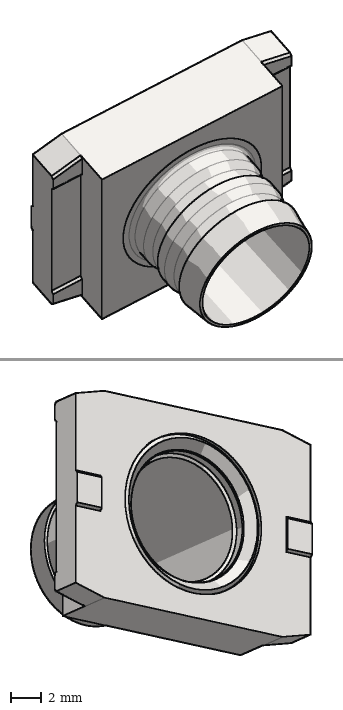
import cadquery as cq

plate_length = 18.9
block_side = 14.3
block_depth = 4.75
wing_depth = 2.23
wing_end_height = 13.12

ridge_height = 0.18
ridge_inner_z = 5.2

pad_height = 0.18
pad_length = 1.98
pad_width = 2.45

total_depth = 12.4
hub_radius = 5.48
hub_chamfer_width = 0.3
hub_chamfer_depth = 0.3
mouth_depth = 0.65
throat_radius = 4.54
counterbore_radius = 4.48
counterbore_start = 0.75
counterbore_end = 1.4
bore_entry_depth = 0.11
bore_radius = 4.23
barb_radius = 4.75
neck_radius = 4.52
tip_radius = 4.45
root_fillet = 0.28
first_barb_end = 6.03
first_neck_start = 6.77
second_barb_start = 7.7
second_barb_end = 8.49
second_neck_start = 9.26
last_barb_start = 10.22

half_length = plate_length / 2
half_block = block_side / 2
half_end = wing_end_height / 2
tube_end = total_depth - pad_height


def make_wings():
    """Solid of the wing layer: a rectangle whose four corners are cut at a shallow slope."""
    outline = [
        (half_length, -half_end),
        (half_length, half_end),
        (half_block, half_block),
        (-half_block, half_block),
        (-half_length, half_end),
        (-half_length, -half_end),
        (-half_block, -half_block),
        (half_block, -half_block),
    ]
    return cq.Workplane("YZ").polyline(outline).close().extrude(wing_depth)


def make_ridge(y_side, z_side):
    """Ridge along the sloped edge of one wing, with both long edges bevelled at 45 degrees."""
    def section(y, outer_z):
        points = [
            (wing_depth, ridge_inner_z),
            (wing_depth + ridge_height, ridge_inner_z + ridge_height),
            (wing_depth + ridge_height, outer_z - ridge_height),
            (wing_depth, outer_z),
        ]
        return cq.Wire.makePolygon([cq.Vector(x, y * y_side, z * z_side) for x, z in points], close=True)

    return cq.Solid.makeLoft([section(half_block, half_block), section(half_length, half_end)], True)


def make_pad(y_side):
    """Low pad at the end of one wing, with its upper and lower edges bevelled at 45 degrees."""
    half_width = pad_width / 2
    top_half_width = half_width - pad_height
    section = [(0, -half_width), (-pad_height, -top_half_width), (-pad_height, top_half_width), (0, half_width)]
    center_y = y_side * (half_length - pad_length / 2)
    return (
        cq.Workplane("XZ", origin=(0, center_y, 0))
        .polyline(section).close()
        .extrude(pad_length / 2, both=True)
    )


def make_plate():
    block = cq.Workplane("YZ").rect(block_side, block_side).extrude(block_depth)
    plate = make_wings().union(block)
    for y_side in (-1, 1):
        plate = plate.union(make_pad(y_side))
        for z_side in (-1, 1):
            plate = plate.union(cq.Workplane(make_ridge(y_side, z_side)))
    hub_hole = cq.Workplane("YZ").circle(hub_radius).extrude(block_depth)
    return plate.cut(hub_hole)


def make_tube():
    """Revolved tube: a hub that fills the plate hole, then three hose barbs."""
    mouth_radius = hub_radius - hub_chamfer_width
    bore_start = counterbore_end + bore_entry_depth
    root_end = block_depth + root_fillet
    profile = (
        cq.Workplane("XY")
        .moveTo(0, mouth_radius)
        .lineTo(hub_chamfer_depth, hub_radius)
        .lineTo(block_depth, hub_radius)
        .lineTo(block_depth, barb_radius + root_fillet)
        .radiusArc((root_end, barb_radius), -root_fillet)
        .lineTo(first_barb_end, barb_radius)
        .lineTo(first_neck_start, neck_radius)
        .lineTo(second_barb_start, neck_radius)
        .lineTo(second_barb_start, barb_radius)
        .lineTo(second_barb_end, barb_radius)
        .lineTo(second_neck_start, neck_radius)
        .lineTo(last_barb_start, neck_radius)
        .lineTo(last_barb_start, barb_radius)
        .lineTo(tube_end, tip_radius)
        .lineTo(tube_end, bore_radius)
        .lineTo(bore_start, bore_radius)
        .lineTo(counterbore_end, counterbore_radius)
        .lineTo(counterbore_start, counterbore_radius)
        .lineTo(mouth_depth, throat_radius)
        .close()
    )
    return profile.revolve(360, (0, 0, 0), (1, 0, 0))


plate = make_plate()
tube = make_tube()

result = cq.Compound.makeCompound([plate.val(), tube.val()])